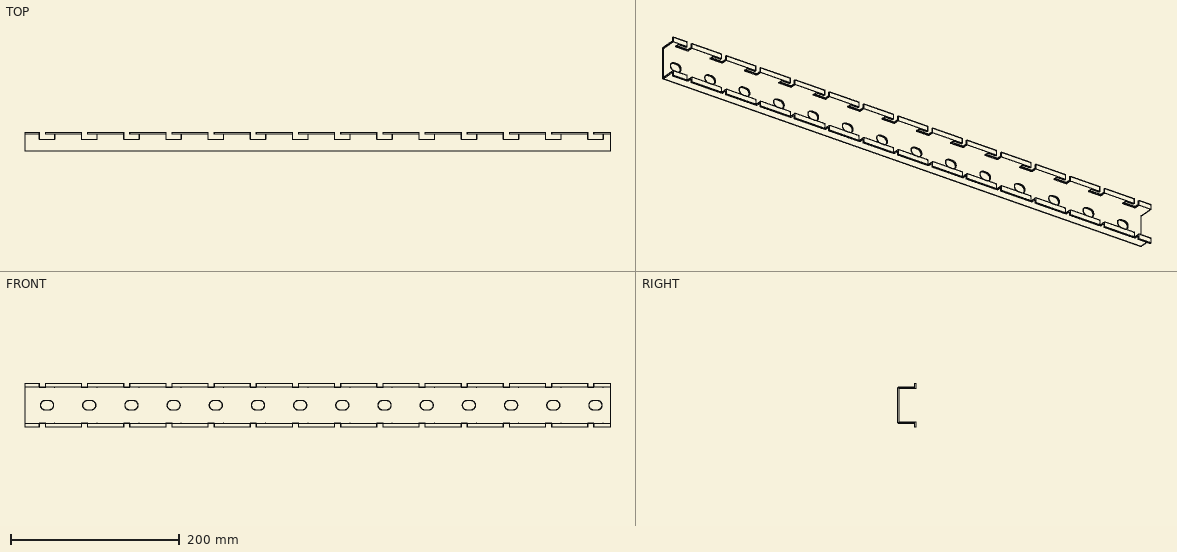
import cadquery as cq

LENGTH = 695.0
DEPTH = 22.0
HEIGHT = 52.0
SHEET = 1.95
LIP = 4.5
OUTER_BEND_RADIUS = 2.2
INNER_BEND_RADIUS = OUTER_BEND_RADIUS - SHEET
CHANNEL_HEIGHT = HEIGHT - 2 * LIP

COUNT = 14
FIRST_CENTRE = 26.5
PITCH = 50.0
CENTRES = [FIRST_CENTRE + i * PITCH for i in range(COUNT)]

HOLE_LENGTH = 15.0
HOLE_WIDTH = 11.0

SLOT_LENGTH = 18.0
SLOT_DEPTH = 6.0
NECK_WIDTH = 7.0


def box_between(x_start, x_length, y_start, y_length, height):
    """Box placed by its X and Y start, centred on Z = 0."""
    box = cq.Workplane("XY").box(x_length, y_length, height, centered=(False, False, True))
    return box.translate((x_start, y_start, 0))


def rounded_bar(y_start, height, radius):
    """Full-length bar of the rail's depth, its two front edges rounded."""
    bar = box_between(0, LENGTH, y_start, DEPTH, height)
    return bar.edges("|X and <Y").fillet(radius)


def make_rail():
    """Channel with its web at Y = 0 and lips turned outwards at its open side."""
    channel = rounded_bar(0, CHANNEL_HEIGHT, OUTER_BEND_RADIUS)
    lips = box_between(0, LENGTH, DEPTH - SHEET, SHEET, HEIGHT)
    cavity = rounded_bar(SHEET, CHANNEL_HEIGHT - 2 * SHEET, INNER_BEND_RADIUS)
    return channel.union(lips).cut(cavity)


def cut_web_holes(rail):
    """Oblong holes through the web, long side along the rail."""
    holes = (
        cq.Workplane("XZ", origin=(0, SHEET, 0))
        .pushPoints([(x, 0) for x in CENTRES])
        .slot2D(HOLE_LENGTH, HOLE_WIDTH)
        .extrude(SHEET)
    )
    return rail.cut(holes)


def cut_flange_notches(rail):
    """L-shaped notches through both flanges and lips, slots in line with the holes."""
    lip_face = DEPTH - SHEET
    for centre in CENTRES:
        start = centre - SLOT_LENGTH / 2
        slot = box_between(start, SLOT_LENGTH, lip_face - SLOT_DEPTH, SLOT_DEPTH, HEIGHT)
        neck = box_between(start, NECK_WIDTH, lip_face, SHEET, HEIGHT)
        rail = rail.cut(slot).cut(neck)
    return rail


result = cut_flange_notches(cut_web_holes(make_rail()))